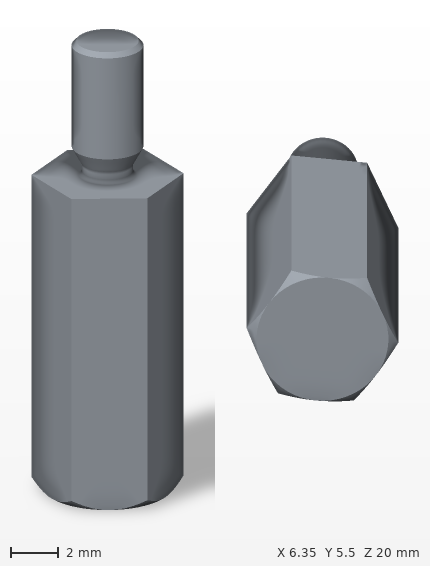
import cadquery as cq
import math

total_height = 20.0
hex_height = 14.0
across_flats = 5.5
across_corners = across_flats / math.cos(math.radians(30))

bottom_face_diameter = across_flats
chamfer_angle = 45.0

stud_radius = 3.0 / 2
neck_radius = 2.15 / 2
tip_chamfer = 0.2
relief_height = 1.25
taper_angle = math.radians(29)
root_fillet = 0.15
taper_fillet = 0.25


def hexagonal_body():
    """Hexagonal prism with a vertex on the X axis and a conical bottom chamfer."""
    prism = cq.Workplane("XY").polygon(6, across_corners).extrude(hex_height)
    bottom_radius = bottom_face_diameter / 2
    cone_radius = across_corners
    cone_height = (cone_radius - bottom_radius) * math.tan(math.radians(chamfer_angle))
    envelope = (
        cq.Workplane("XZ")
        .moveTo(0, 0)
        .lineTo(bottom_radius, 0)
        .lineTo(cone_radius, cone_height)
        .lineTo(cone_radius, hex_height)
        .lineTo(0, hex_height)
        .close()
        .revolve(360, (0, 0), (0, 1))
    )
    return prism.intersect(envelope)


def stud():
    """Round stud with a chamfered tip, a tapered relief neck and filleted neck ends."""
    taper_bottom = hex_height + relief_height - (stud_radius - neck_radius) / math.tan(taper_angle)
    tangent_length = taper_fillet * math.tan(taper_angle / 2)
    taper_tangent_point = (
        neck_radius + tangent_length * math.sin(taper_angle),
        taper_bottom + tangent_length * math.cos(taper_angle),
    )
    return (
        cq.Workplane("XZ")
        .moveTo(0, hex_height)
        .lineTo(neck_radius + root_fillet, hex_height)
        .radiusArc((neck_radius, hex_height + root_fillet), root_fillet)
        .lineTo(neck_radius, taper_bottom - tangent_length)
        .radiusArc(taper_tangent_point, taper_fillet)
        .lineTo(stud_radius, hex_height + relief_height)
        .lineTo(stud_radius, total_height - tip_chamfer)
        .lineTo(stud_radius - tip_chamfer, total_height)
        .lineTo(0, total_height)
        .close()
        .revolve(360, (0, 0), (0, 1))
    )


result = hexagonal_body().union(stud())